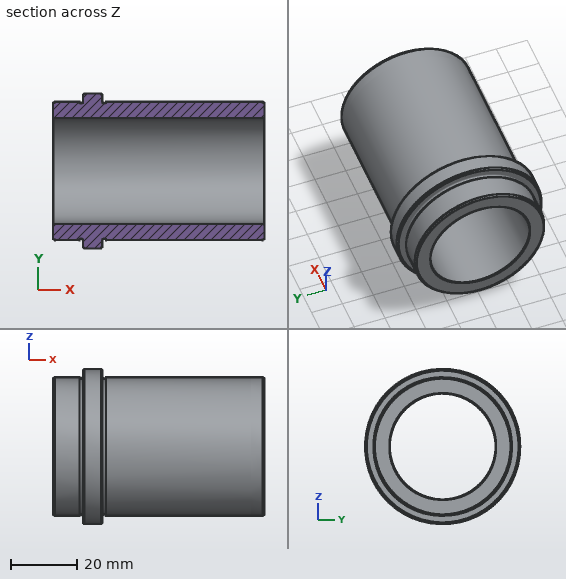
import cadquery as cq

length = 64.0
body_radius = 42.0 / 2
collar_radius = 47.0 / 2
bore_radius = 32.0 / 2

collar_start = 9.0
collar_width = 5.95
collar_end = collar_start + collar_width
lead_length = 4.0

end_chamfer_length = 0.65
end_chamfer_depth = 0.45
collar_chamfer = 0.5
bore_chamfer = 0.2

groove_width = 1.0
groove_depth = 0.45

end_radius = body_radius - end_chamfer_depth
collar_face_radius = collar_radius - collar_chamfer
bore_mouth_radius = bore_radius + bore_chamfer
groove_floor_radius = body_radius - groove_depth


def relief_groove(profile, start):
    """Continue the outline through an arc groove that starts at the given X."""
    return profile.threePointArc(
        (start + groove_width / 2, groove_floor_radius),
        (start + groove_width, body_radius),
    )


profile = (
    cq.Workplane("XY")
    .moveTo(0, bore_mouth_radius)
    .lineTo(0, end_radius)
    .lineTo(end_chamfer_length, body_radius)
    .lineTo(collar_start - groove_width, body_radius)
)
profile = relief_groove(profile, collar_start - groove_width)

profile = (
    profile.lineTo(collar_start, collar_face_radius)
    .lineTo(collar_start + collar_chamfer, collar_radius)
    .lineTo(collar_end - collar_chamfer, collar_radius)
    .lineTo(collar_end, collar_face_radius)
    .lineTo(collar_end, body_radius)
)
profile = relief_groove(profile, collar_end)

profile = (
    profile.lineTo(length - lead_length, body_radius)
    .lineTo(length - end_chamfer_length, body_radius)
    .lineTo(length, end_radius)
    .lineTo(length, bore_mouth_radius)
    .lineTo(length - bore_chamfer, bore_radius)
    .lineTo(bore_chamfer, bore_radius)
    .close()
)

result = profile.revolve(360, (0, 0, 0), (1, 0, 0), clean=False)